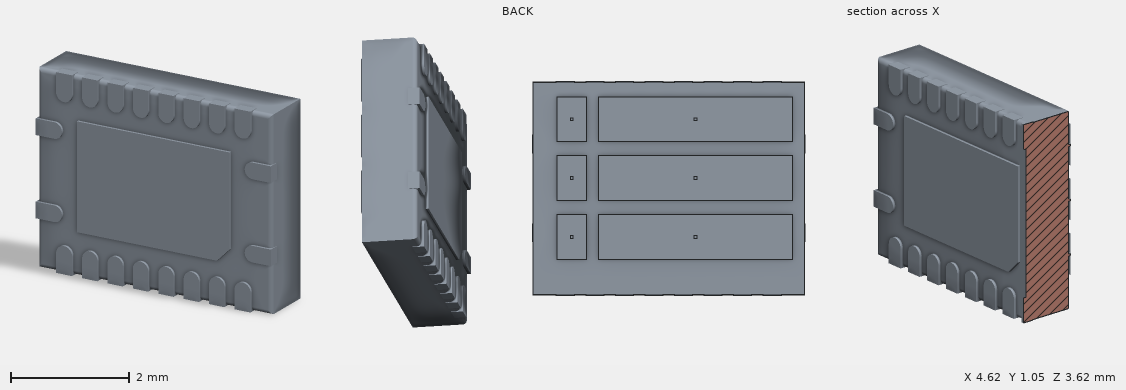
import cadquery as cq

total_length = 4.62
total_width = 3.62
total_thickness = 1.05

terminal_overhang = 0.01
standoff = 0.05
marking_gap = 0.05
body_edge_radius = 0.08
body_length = total_length - 2 * terminal_overhang
body_width = total_width - 2 * terminal_overhang
body_depth = total_thickness - standoff - marking_gap

mounting_plane = -total_thickness / 2
body_front = mounting_plane + standoff
body_back = body_front + body_depth
marking_plane = total_thickness / 2

terminal_length = 0.515
terminal_width = 0.3
terminal_height = 0.205
long_side_count = 8
long_side_pitch = 0.5
short_side_count = 2
short_side_pitch = 1.5
corner_terminal_extra = 0.015

pad_length = 3.005
pad_width = 2.0
pad_corner_cut = 0.25

marking_columns = [(-2.095, 1.187), (1.39, 1.89)]
marking_row_centres = [1.175, 0.175, -0.822]
marking_row_height = 0.758
marking_plate_thickness = 0.005
marking_post_size = 0.045


def plane_at(y):
    """Plane facing -Y at the given Y, with local x along X and local y along Z."""
    return cq.Workplane(cq.Plane(origin=(0, y, 0), xDir=(1, 0, 0), normal=(0, -1, 0)))


def row_positions(count, pitch):
    return [(index - (count - 1) / 2) * pitch for index in range(count)]


def make_body():
    block = plane_at(body_back).rect(body_length, body_width).extrude(body_depth)
    return block.faces("<Y").edges().fillet(body_edge_radius)


def make_terminal(edge_distance, offset, angle, width=terminal_width):
    """Round-ended terminal on the side reached by turning +X through angle about the thickness axis."""
    radius = width / 2
    arc_start = edge_distance - terminal_length + radius
    terminal = (
        plane_at(mounting_plane + terminal_height)
        .moveTo(edge_distance, offset - radius)
        .lineTo(edge_distance, offset + radius)
        .lineTo(arc_start, offset + radius)
        .threePointArc((arc_start - radius, offset), (arc_start, offset - radius))
        .close()
        .extrude(terminal_height)
    )
    return terminal.rotate((0, 0, 0), (0, 1, 0), angle)


def make_pad():
    pad = plane_at(mounting_plane + terminal_height).rect(pad_length, pad_width).extrude(terminal_height)
    return pad.edges("|Y and >X and <Z").chamfer(pad_corner_cut)


def make_marking_plate(start, end, row_centre):
    """Thin plate held off the back of the body by a small central post."""
    centre = ((start + end) / 2, row_centre)
    plate = (
        plane_at(marking_plane)
        .center(*centre)
        .rect(end - start, marking_row_height)
        .extrude(marking_plate_thickness)
    )
    post = (
        plane_at(marking_plane)
        .center(*centre)
        .rect(marking_post_size, marking_post_size)
        .extrude(marking_plane - body_back)
    )
    return plate.union(post)


result = make_body().union(make_pad())

for offset in row_positions(short_side_count, short_side_pitch):
    for angle in (0, 180):
        result = result.union(make_terminal(total_length / 2, offset, angle))

long_side_offsets = row_positions(long_side_count, long_side_pitch)
for angle in (90, 270):
    for offset in long_side_offsets[1:-1]:
        result = result.union(make_terminal(total_width / 2, offset, angle))
    for offset, outward in ((long_side_offsets[0], -1), (long_side_offsets[-1], 1)):
        centre = offset + outward * corner_terminal_extra / 2
        width = terminal_width + corner_terminal_extra
        result = result.union(make_terminal(total_width / 2, centre, angle, width))

for start, end in marking_columns:
    for row_centre in marking_row_centres:
        result = result.union(make_marking_plate(start, end, row_centre))